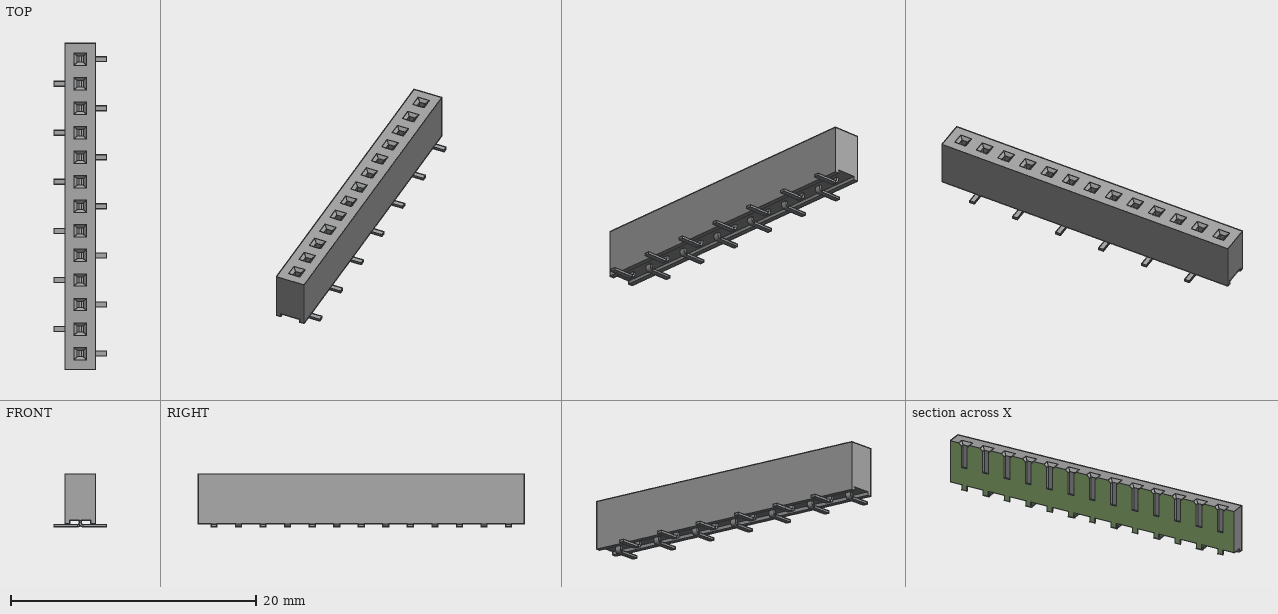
import cadquery as cq

length = 26.6
overall_height = 4.3
housing_width = 2.5
standoff = 0.25
foot_width = 0.4
foot_height = 0.3

contact_count = 13
end_margin = 1.3
pitch = (length - 2 * end_margin) / (contact_count - 1)

mouth_size = 1.0
throat_size = 0.5
funnel_depth = (mouth_size - throat_size) / 2
socket_depth = 2.65

tail_span = 4.3
sheet = 0.2
post_width = 0.5
tail_width = 0.43
inner_bend_radius = 0.1
outer_bend_radius = inner_bend_radius + sheet
post_top = 2.13


def make_housing():
    """Rectangular bar with a shallow channel along the whole underside."""
    body = cq.Workplane("XY", origin=(0, 0, standoff)).box(
        housing_width, length, overall_height - standoff, centered=(True, True, False)
    )
    channel = cq.Workplane("XY", origin=(0, 0, standoff)).box(
        housing_width - 2 * foot_width, length, foot_height, centered=(True, True, False)
    )
    return body.cut(channel)


def make_socket(y):
    """Square pocket with a tapered lead-in at its mouth."""
    top = cq.Workplane("XY", origin=(0, y, overall_height))
    funnel = (
        top.rect(mouth_size, mouth_size)
        .workplane(offset=-funnel_depth)
        .rect(throat_size, throat_size)
        .loft(ruled=True)
    )
    throat = top.rect(throat_size, throat_size).extrude(-socket_depth)
    return funnel.union(throat)


def make_contact(y, side):
    """Post inside the housing, bent out to a narrower tail towards side (+1 or -1 along X)."""
    inner_face = side * sheet / 2
    outer_face = -inner_face
    bend_end = inner_face + side * inner_bend_radius
    post = (
        cq.Workplane("XZ", origin=(0, y, 0))
        .moveTo(outer_face, post_top)
        .lineTo(outer_face, outer_bend_radius)
        .radiusArc((bend_end, 0), -side * outer_bend_radius)
        .lineTo(bend_end, sheet)
        .radiusArc((inner_face, outer_bend_radius), side * inner_bend_radius)
        .lineTo(inner_face, post_top)
        .close()
        .extrude(post_width / 2, both=True)
    )
    tail_length = tail_span / 2 - abs(bend_end)
    tail_centre = side * (tail_span / 2 - tail_length / 2)
    tail = cq.Workplane("XY", origin=(tail_centre, y, 0)).box(
        tail_length, tail_width, sheet, centered=(True, True, False)
    )
    return post.union(tail)


result = make_housing()
for index in range(contact_count):
    contact_y = (index - (contact_count - 1) / 2) * pitch
    tail_side = 1 if index % 2 == 0 else -1
    result = result.cut(make_socket(contact_y))
    result = result.union(make_contact(contact_y, tail_side))